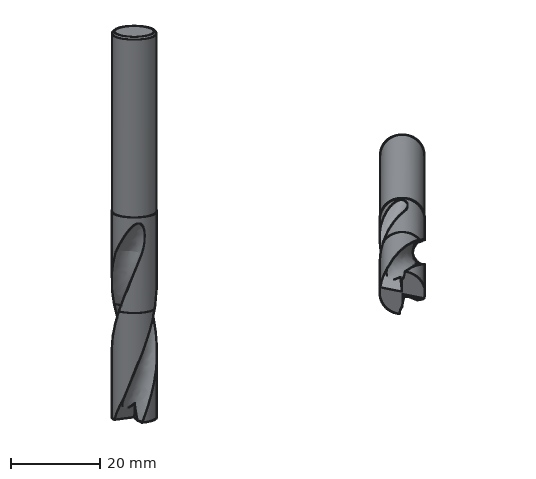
import cadquery as cq
import math

diameter = 10.2
radius = diameter / 2
overall_length = 90.0
cutting_length = 25.7
neck_top = 48.0
shank_diameter = 10.0
shank_chamfer = 0.5

flute_count = 2
helix_angle = 22.0
flute_radius = 3.6
core_radius = 2.4
flute_offset = core_radius + flute_radius
twist_per_mm = math.degrees(math.tan(math.radians(helix_angle)) / radius)
flute_start_angle = 96.0
helix_top = 39.3
runout_top = 46.6
runout_angle = 303.0
runout_offset = radius + flute_radius

gash_height = 6.0
gash_root = (0.1, -0.3)
gash_lean = (0.24, -0.48)
gash_side_length = 9.0
heel_direction = 228.0
rake_direction = 308.0


def polar(distance, angle):
    """Point at a distance from the axis in the given direction."""
    return (distance * math.cos(math.radians(angle)), distance * math.sin(math.radians(angle)))


def flute_angle(z):
    """Direction of the first flute at height z."""
    return flute_start_angle + twist_per_mm * z


def opposite_copies(tool):
    """One copy of a cutting tool for each flute, spaced evenly around the axis."""
    step = 360 / flute_count
    return [tool.rotate((0, 0, 0), (0, 0, 1), i * step) for i in range(flute_count)]


def helical_flute(bottom, top):
    """Twisted flute volume between two heights."""
    length = top - bottom
    return (
        cq.Workplane("XY")
        .moveTo(*polar(flute_offset, flute_angle(bottom)))
        .circle(flute_radius)
        .twistExtrude(length, twist_per_mm * length)
        .translate((0, 0, bottom))
    )


def flute_runout():
    """Straight end of a flute that slants outward until it leaves the surface."""
    start = cq.Wire.makeCircle(
        flute_radius, cq.Vector(*polar(flute_offset, flute_angle(helix_top)), helix_top), cq.Vector(0, 0, 1)
    )
    end = cq.Wire.makeCircle(
        flute_radius, cq.Vector(*polar(runout_offset, runout_angle), runout_top), cq.Vector(0, 0, 1)
    )
    return cq.Workplane(cq.Solid.makeLoft([start, end], True))


def tip_gash():
    """Leaning V-shaped prism with its root near the axis at the tip face."""
    sections = []
    for z in (0, gash_height):
        root = cq.Vector(gash_root[0] + gash_lean[0] * z, gash_root[1] + gash_lean[1] * z, z)
        heel = root + cq.Vector(*polar(gash_side_length, heel_direction))
        rake = root + cq.Vector(*polar(gash_side_length, rake_direction))
        sections.append(cq.Wire.makePolygon([root, heel, rake], close=True))
    return cq.Workplane(cq.Solid.makeLoft(sections, True))


def make_cutting_head():
    """Fluted cutting end with the gashed tip at z = 0."""
    head = cq.Workplane("XY").circle(radius).extrude(cutting_length)
    for flute in opposite_copies(helical_flute(0, cutting_length)):
        head = head.cut(flute)
    for gash in opposite_copies(tip_gash()):
        head = head.cut(gash)
    return head


def make_shank():
    """Shank with the upper part of the flutes in its neck."""
    neck_length = neck_top - cutting_length
    neck = cq.Workplane("XY").workplane(offset=cutting_length).circle(radius).extrude(neck_length)
    for flute in opposite_copies(helical_flute(cutting_length, helix_top)):
        neck = neck.cut(flute)
    for runout in opposite_copies(flute_runout()):
        neck = neck.cut(runout)
    plain = (
        cq.Workplane("XY")
        .workplane(offset=neck_top)
        .circle(shank_diameter / 2)
        .extrude(overall_length - neck_top)
        .faces(">Z")
        .chamfer(shank_chamfer)
    )
    return neck.union(plain)


cutting_head = make_cutting_head()
shank = make_shank()

result = cq.Compound.makeCompound([cutting_head.solids().val(), shank.solids().val()])